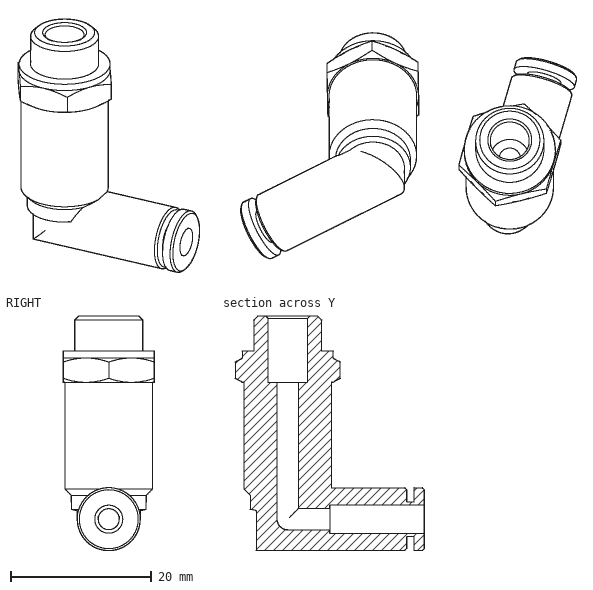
import cadquery as cq
import math


stem_top_z = 29.0
stud_base_z = 24.0
washer_base_z = 23.0
hex_base_z = 19.5
sleeve_base_z = 4.3
ring_base_z = 1.4
ring_taper_height = 0.2

stud_diameter = 9.73
stud_chamfer = 0.58
washer_diameter = 13.0
hex_across_flats = 13.0
hex_sides = 6
hex_chamfer_angle = math.radians(30)
sleeve_diameter = 12.5
ring_diameter = 10.7

elbow_diameter = 9.0
port_end_x = 17.0
port_chamfer = 0.3
button_start_x = 18.0
button_end_x = 19.5
button_chamfer = 0.3
button_neck_diameter = 5.0

stem_bore_diameter = 5.56
stem_bore_depth = stem_top_z - hex_base_z
stem_countersink = 0.35
flow_bore_diameter = 3.0
tube_bore_diameter = 4.0
tube_stop_x = 6.0

elbow_radius = elbow_diameter / 2
hex_corner_diameter = hex_across_flats / math.cos(math.pi / hex_sides)
sleeve_chamfer = (sleeve_diameter - ring_diameter) / 2
hex_corner_drop = (hex_corner_diameter - hex_across_flats) / 2 * math.tan(hex_chamfer_angle)


def upright(diameter, bottom_z, top_z):
    """Cylinder on the Z axis."""
    return cq.Workplane("XY").workplane(offset=bottom_z).circle(diameter / 2).extrude(top_z - bottom_z)


def lengthwise(diameter, start_x, end_x):
    """Cylinder on the X axis."""
    return cq.Workplane("YZ").workplane(offset=start_x).circle(diameter / 2).extrude(end_x - start_x)


def make_hex():
    """Hexagon with corners on the X axis, corners bevelled at both ends."""
    height = washer_base_z - hex_base_z
    prism = (
        cq.Workplane("XY")
        .workplane(offset=hex_base_z)
        .polygon(hex_sides, hex_corner_diameter)
        .extrude(height)
    )
    flat_radius = hex_across_flats / 2
    corner_radius = hex_corner_diameter / 2
    envelope = (
        cq.Workplane("XZ")
        .moveTo(0, hex_base_z)
        .lineTo(flat_radius, hex_base_z)
        .lineTo(corner_radius, hex_base_z + hex_corner_drop)
        .lineTo(corner_radius, washer_base_z - hex_corner_drop)
        .lineTo(flat_radius, washer_base_z)
        .lineTo(0, washer_base_z)
        .close()
        .revolve(360, (0, 0, 0), (0, 1, 0))
    )
    return prism.intersect(envelope)


def make_ring():
    """Collar under the sleeve, its underside tapering to the elbow."""
    return (
        cq.Workplane("XZ")
        .moveTo(0, sleeve_base_z)
        .lineTo(ring_diameter / 2, sleeve_base_z)
        .lineTo(ring_diameter / 2, ring_base_z)
        .lineTo(elbow_radius, ring_base_z - ring_taper_height)
        .lineTo(0, ring_base_z - ring_taper_height)
        .close()
        .revolve(360, (0, 0, 0), (0, 1, 0))
    )


def make_stem():
    stud = upright(stud_diameter, stud_base_z, stem_top_z).faces(">Z").chamfer(stud_chamfer)
    washer = upright(washer_diameter, washer_base_z, stud_base_z)
    sleeve_bottom_z = sleeve_base_z - sleeve_chamfer
    sleeve = upright(sleeve_diameter, sleeve_bottom_z, hex_base_z).faces("<Z").chamfer(sleeve_chamfer)
    return stud.union(washer).union(make_hex()).union(sleeve).union(make_ring())


def make_elbow():
    """Two equal cylinders meeting in a 45 degree mitre."""
    leg = upright(elbow_diameter, -elbow_radius, sleeve_base_z)
    port = lengthwise(elbow_diameter, -elbow_radius, port_end_x).faces(">X").chamfer(port_chamfer)
    mitre = (
        cq.Workplane("XZ")
        .moveTo(-elbow_radius, -elbow_radius)
        .lineTo(sleeve_base_z, sleeve_base_z)
        .lineTo(-elbow_radius, sleeve_base_z)
        .close()
        .extrude(elbow_radius, both=True)
    )
    return leg.intersect(mitre).union(port.cut(mitre))


def make_button():
    """Release button on its narrow neck."""
    neck = lengthwise(button_neck_diameter, port_end_x, button_start_x)
    head = lengthwise(elbow_diameter, button_start_x, button_end_x).faces(">X").chamfer(button_chamfer)
    return neck.union(head)


def make_bores():
    """Stem bore, flow passage with a ball-shaped turn, and tube socket."""
    stem_bore = upright(stem_bore_diameter, stem_top_z - stem_bore_depth, stem_top_z)
    countersink = (
        cq.Workplane("XY")
        .workplane(offset=stem_top_z)
        .circle(stem_bore_diameter / 2 + stem_countersink)
        .workplane(offset=-stem_countersink)
        .circle(stem_bore_diameter / 2)
        .loft()
    )
    down = upright(flow_bore_diameter, 0, stem_top_z - stem_bore_depth)
    turn = cq.Workplane("XY").sphere(flow_bore_diameter / 2)
    along = lengthwise(flow_bore_diameter, 0, tube_stop_x)
    socket = lengthwise(tube_bore_diameter, tube_stop_x, button_end_x)
    return stem_bore.union(countersink).union(down).union(turn).union(along).union(socket)


result = make_stem().union(make_elbow()).union(make_button()).cut(make_bores())